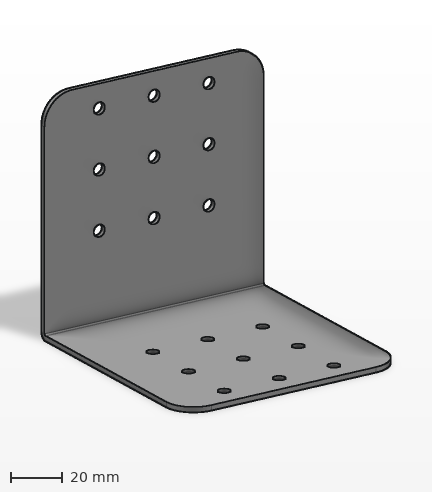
import cadquery as cq

leg_length = 101.6
width = 101.6
thickness = 2.3

inner_bend_radius = 0.7
outer_bend_radius = inner_bend_radius + thickness

corner_radius = 12.7
hole_diameter = 5.1
hole_pitch = 25.4
holes_per_side = 3
hole_edge_distance = 10.4

grid_center = leg_length - hole_edge_distance - hole_pitch * (holes_per_side - 1) / 2


def bent_sheet():
    """L-shaped sheet with concentric inner and outer bend radii."""
    profile = (
        cq.Workplane("XZ")
        .polyline([
            (0, 0),
            (leg_length, 0),
            (leg_length, thickness),
            (thickness, thickness),
            (thickness, leg_length),
            (0, leg_length),
        ])
        .close()
        .extrude(width / 2, both=True)
    )
    outer_edge = cq.selectors.NearestToPointSelector((0, 0, 0))
    inner_edge = cq.selectors.NearestToPointSelector((thickness, 0, thickness))
    return (
        profile
        .edges(inner_edge).fillet(inner_bend_radius)
        .edges(outer_edge).fillet(outer_bend_radius)
    )


def hole_grid(plane, center):
    """Square grid of cutters through one leg, starting on its outer face."""
    return (
        cq.Workplane(plane)
        .center(*center)
        .rarray(hole_pitch, hole_pitch, holes_per_side, holes_per_side)
        .circle(hole_diameter / 2)
        .extrude(thickness)
    )


bracket = bent_sheet()

bracket = bracket.faces(">Z").edges("|X").fillet(corner_radius)
bracket = bracket.faces(">X").edges("|Z").fillet(corner_radius)

bracket = bracket.cut(hole_grid("XY", (grid_center, 0)))
bracket = bracket.cut(hole_grid("YZ", (0, grid_center)))

result = bracket